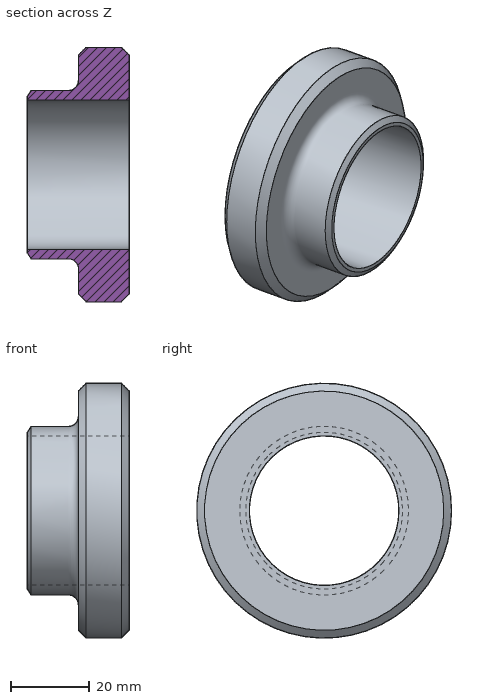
import cadquery as cq

total_length = 26.0
flange_diameter = 65.0
flange_thickness = 13.0
flange_chamfer = 2.0
hub_diameter = 43.0
hub_end_diameter = 40.0
hub_chamfer_length = 1.0
bore_diameter = 38.0
fillet_radius = 2.5

hub_end_x = -total_length / 2
back_face_x = total_length / 2
flange_face_x = back_face_x - flange_thickness

flange_radius = flange_diameter / 2
hub_radius = hub_diameter / 2
hub_end_radius = hub_end_diameter / 2
bore_radius = bore_diameter / 2

section = (
    cq.Workplane("XY")
    .moveTo(hub_end_x, bore_radius)
    .lineTo(hub_end_x, hub_end_radius)
    .lineTo(hub_end_x + hub_chamfer_length, hub_radius)
    .lineTo(flange_face_x - fillet_radius, hub_radius)
    .radiusArc((flange_face_x, hub_radius + fillet_radius), -fillet_radius)
    .lineTo(flange_face_x, flange_radius - flange_chamfer)
    .lineTo(flange_face_x + flange_chamfer, flange_radius)
    .lineTo(back_face_x - flange_chamfer, flange_radius)
    .lineTo(back_face_x, flange_radius - flange_chamfer)
    .lineTo(back_face_x, bore_radius)
    .close()
)

result = section.revolve(360, (0, 0, 0), (1, 0, 0))